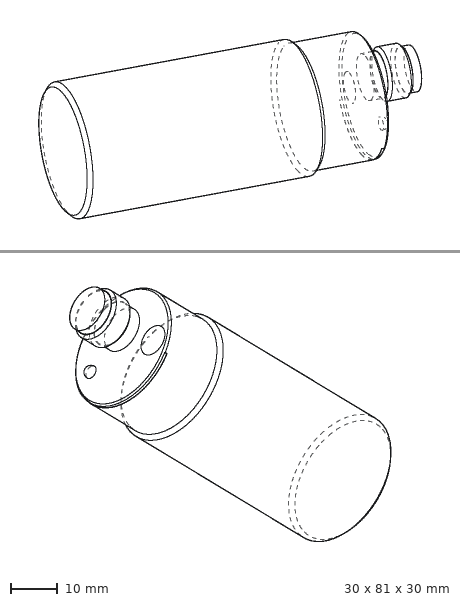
import cadquery as cq

total_length = 81.0
body_diameter = 30.0
body_chamfer = 1.0
cap_diameter = 28.0
cap_length = 14.9
cap_edge_chamfer = 0.5

connector_diameter = 10.3
connector_length = 11.0
connector_height = 4.4

collar_diameter = 12.0
collar_length = 5.8
collar_chamfer = 0.7
collar_end_gap = 2.0

indicator_offset = 9.1
indicator_height = -2.5
lamp_diameter = 3.0
dome_diameter = 7.0
dome_rise = 0.8
dome_root = 0.4

relief_width = 1.05
relief_depth = 0.1
relief_top_z = -6.9

front_y = -total_length / 2
end_y = total_length / 2
face_y = end_y - connector_length
shoulder_y = face_y - cap_length
collar_y = end_y - collar_end_gap - collar_length


def cylinder(diameter, start_y, stop_y, x=0, z=0):
    """Round bar parallel to Y between two Y positions."""
    base = cq.Workplane("XZ", origin=(x, start_y, z))
    return base.circle(diameter / 2).extrude(start_y - stop_y)


def make_body():
    body = cylinder(body_diameter, front_y, shoulder_y)
    return body.edges("%CIRCLE").chamfer(body_chamfer)


def make_cap():
    cap = cylinder(cap_diameter, shoulder_y, face_y)
    return cap.faces(">Y").edges().chamfer(cap_edge_chamfer)


def make_connector():
    stem = cylinder(connector_diameter, face_y, end_y, z=connector_height)
    collar = cylinder(collar_diameter, collar_y, collar_y + collar_length, z=connector_height)
    return stem.union(collar.edges("%CIRCLE").chamfer(collar_chamfer))


def make_lamp():
    """Ball centred on the cap face, so that half of it stands proud."""
    lamp_centre = (indicator_offset, face_y, indicator_height)
    return cq.Workplane("XY").sphere(lamp_diameter / 2).translate(lamp_centre)


def make_dome():
    """Shallow spherical cap rising from the cap face."""
    chord_radius = dome_diameter / 2
    sphere_radius = (chord_radius**2 + dome_rise**2) / (2 * dome_rise)
    profile = (
        cq.Workplane("XY", origin=(-indicator_offset, face_y, indicator_height))
        .moveTo(0, -dome_root)
        .lineTo(chord_radius, -dome_root)
        .lineTo(chord_radius, 0)
        .radiusArc((0, dome_rise), -sphere_radius)
        .close()
    )
    return profile.revolve(360, (0, 0, 0), (0, 1, 0))


def make_rim_relief():
    """Thin ring around the lower part of the cap rim, to be cut away."""
    relief_y = face_y - relief_width
    ring = cylinder(body_diameter, relief_y, face_y).cut(
        cylinder(cap_diameter - 2 * relief_depth, relief_y, face_y)
    )
    upper_space = cq.Workplane("XY", origin=(0, face_y, relief_top_z)).box(
        body_diameter, 2 * relief_width, body_diameter, centered=(True, True, False)
    )
    return ring.cut(upper_space)


result = make_body()
for feature in (make_cap(), make_connector(), make_lamp(), make_dome()):
    result = result.union(feature)
result = result.cut(make_rim_relief())